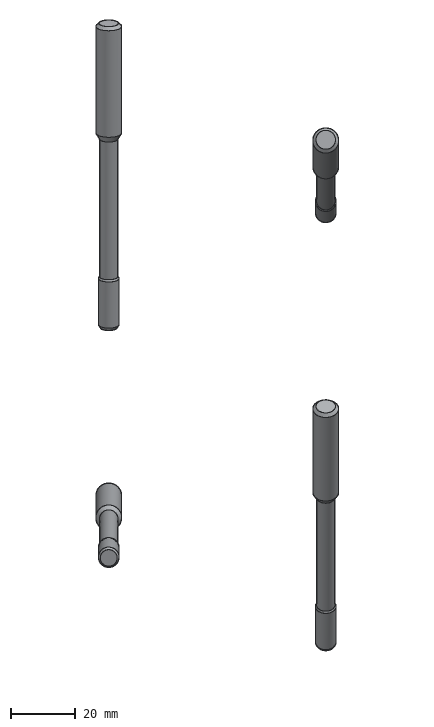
import cadquery as cq
import math

length = 100.0
shank_diameter = 8.0
neck_diameter = 5.7
tip_diameter = 6.4
tip_end_diameter = 5.2

shank_length = 36.0
tip_length = 16.8
shank_chamfer = 1.0

cone_angle = 30.0


def cone_height(large_diameter, small_diameter):
    """Axial length of a cone joining two diameters."""
    return (large_diameter - small_diameter) / 2 / math.tan(math.radians(cone_angle))


shank_radius = shank_diameter / 2
neck_radius = neck_diameter / 2
tip_radius = tip_diameter / 2

tip_cone_top = cone_height(tip_diameter, tip_end_diameter)
tip_shoulder = tip_length - cone_height(tip_diameter, neck_diameter)
shank_bottom = length - shank_length
neck_top = shank_bottom - cone_height(shank_diameter, neck_diameter)

profile = [
    (0, 0),
    (tip_end_diameter / 2, 0),
    (tip_radius, tip_cone_top),
    (tip_radius, tip_shoulder),
    (neck_radius, tip_length),
    (neck_radius, neck_top),
    (shank_radius, shank_bottom),
    (shank_radius, length - shank_chamfer),
    (shank_radius - shank_chamfer, length),
    (0, length),
]

result = cq.Workplane("XZ").polyline(profile).close().revolve(360, (0, 0), (0, 1))